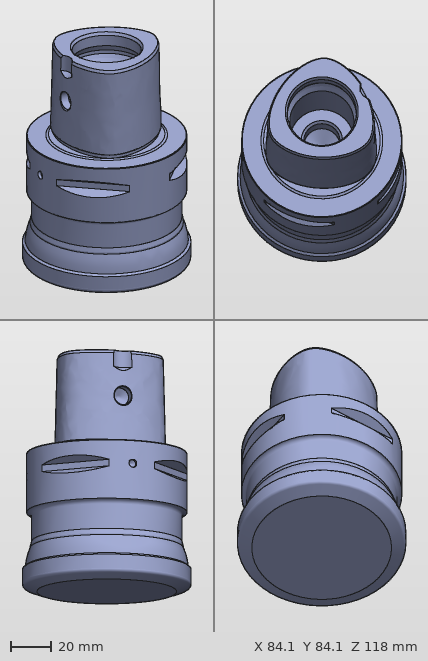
import cadquery as cq
import math

total_height = 118.0
nut_height = 25.1
collar_bottom = 40.0
collar_top = 69.9

nut_radius = 42.0
nut_face_radius = 34.8
nut_face_cone_height = 2.1
nut_face_cone_radius = 40.8
nut_rim_bottom = 4.1
nut_rim_top = 11.3
nut_shoulder_radius = 40.7
nut_shoulder_level = 12.3
nut_dome_mid_radius = 39.9
nut_dome_mid_level = 17.2
nut_band_radius = 38.2
nut_band_bottom = 22.0
nut_band_top = 22.7

neck_radius = 75.0 / 2
neck_fillet = 2.4
collar_radius = 80.0 / 2
collar_edge_chamfer = 0.4
seat_radius = 30.3
seat_top_radius = 29.0
seat_height = 0.5

taper_bottom = 72.3
taper_mean_radius = 27.6
taper_slope = 1 / 40
taper_eccentricity = 2.0
taper_rim_chamfer = 0.7
taper_rim_height = 1.5
undercut_depth = 0.7
outline_points = 48

bore_rim_radius = 18.2
bore_upper_radius = 17.2
bore_rim_depth = 1.5
bore_groove_radius = 38.0 / 2
bore_groove_start = 7.2
bore_groove_flat_start = 10.4
bore_groove_end = 12.3
bore_cone_mid_radius = 17.7
bore_cone_mid = 14.3
bore_cone_end = 16.4
bore_lower_radius = 32.0 / 2
bore_floor_depth = 47.2
pilot_radius = 18.0 / 2
pilot_rim_radius = 10.3
pilot_depth = 9.4
pilot_tip_depth = 5.2

notch_radius = 6.0
notch_offset = 28.0
notch_depth = 8.4
notch_tip_depth = 4.4

shank_hole_radius = 9.1 / 2
shank_hole_level = 95.0
shank_hole_floor = 20.1
shank_hole_tip = 2.6
shank_hole_rim_chamfer = 0.5
collar_hole_radius = 4.0 / 2
collar_hole_depth = 1.8
collar_hole_tip = 1.2

slot_count = 4
slot_first_angle = 45
slot_level = 58.0
slot_floor_distance = 35.4
slot_floor_width = 3.3
slot_mouth_width = 8.7
slot_length = 37.0


def revolve_profile(profile):
    """Turn a closed (radius, height) outline about the Z axis."""
    return profile.close().revolve(360, (0, 0, 0), (0, 1, 0))


def build_nut():
    corner = math.sqrt(0.5)
    round_width = nut_radius - nut_face_cone_radius
    round_height = nut_rim_bottom - nut_face_cone_height
    rim_round_mid = (
        nut_face_cone_radius + round_width * corner,
        nut_rim_bottom - round_height * corner,
    )
    profile = (
        cq.Workplane("XZ")
        .lineTo(nut_face_radius, 0)
        .lineTo(nut_face_cone_radius, nut_face_cone_height)
        .threePointArc(rim_round_mid, (nut_radius, nut_rim_bottom))
        .lineTo(nut_radius, nut_rim_top)
        .lineTo(nut_shoulder_radius, nut_shoulder_level)
        .threePointArc((nut_dome_mid_radius, nut_dome_mid_level), (nut_band_radius, nut_band_bottom))
        .lineTo(nut_band_radius, nut_band_top)
        .lineTo(neck_radius, nut_height)
        .lineTo(0, nut_height)
    )
    return revolve_profile(profile)


def turned_holder_base():
    """Neck, collar and seat ring as one turned shape."""
    fillet_start = collar_bottom - neck_fillet
    fillet_end_radius = neck_radius + neck_fillet
    fillet_sag = neck_fillet * (1 - math.sqrt(0.5))
    profile = (
        cq.Workplane("XZ")
        .moveTo(0, nut_height)
        .lineTo(neck_radius, nut_height)
        .lineTo(neck_radius, fillet_start)
        .threePointArc(
            (neck_radius + fillet_sag, collar_bottom - fillet_sag),
            (fillet_end_radius, collar_bottom),
        )
        .lineTo(collar_radius, collar_bottom)
        .lineTo(collar_radius, collar_top - collar_edge_chamfer)
        .lineTo(collar_radius - collar_edge_chamfer, collar_top)
        .lineTo(seat_radius, collar_top)
        .lineTo(seat_top_radius, collar_top + seat_height)
        .lineTo(0, collar_top + seat_height)
    )
    return revolve_profile(profile)


def lobed_wire(mean_radius, level):
    """Constant-width three-lobed outline with one lobe pointing to +Y."""
    points = []
    for index in range(outline_points):
        angle = 2 * math.pi * index / outline_points
        along = (
            mean_radius * math.cos(angle)
            + taper_eccentricity * (2 * math.cos(2 * angle) - math.cos(4 * angle))
        )
        across = (
            mean_radius * math.sin(angle)
            - taper_eccentricity * (2 * math.sin(2 * angle) + math.sin(4 * angle))
        )
        points.append(cq.Vector(-across, along, level))
    edge = cq.Edge.makeSpline(points, periodic=True)
    return cq.Wire.assembleEdges([edge])


def lobed_section(bottom_radius, bottom, top_radius, top):
    wires = [lobed_wire(bottom_radius, bottom), lobed_wire(top_radius, top)]
    return cq.Workplane(cq.Solid.makeLoft(wires, True))


def taper_shank():
    rim_level = total_height - taper_rim_height
    rim_radius = taper_mean_radius - taper_slope * (rim_level - taper_bottom)
    undercut_radius = taper_mean_radius - undercut_depth
    undercut = lobed_section(undercut_radius, collar_top, undercut_radius, taper_bottom)
    taper = lobed_section(taper_mean_radius, taper_bottom, rim_radius, rim_level)
    rim = lobed_section(rim_radius, rim_level, rim_radius - taper_rim_chamfer, total_height)
    return undercut.union(taper).union(rim)


def bore_cutter():
    floor = total_height - bore_floor_depth
    pilot_rim_depth = pilot_rim_radius - pilot_radius
    pilot_floor = floor - pilot_depth
    profile = (
        cq.Workplane("XZ")
        .moveTo(0, total_height)
        .lineTo(bore_rim_radius, total_height)
        .lineTo(bore_upper_radius, total_height - bore_rim_depth)
        .lineTo(bore_upper_radius, total_height - bore_groove_start)
        .lineTo(bore_groove_radius, total_height - bore_groove_flat_start)
        .lineTo(bore_groove_radius, total_height - bore_groove_end)
        .lineTo(bore_cone_mid_radius, total_height - bore_cone_mid)
        .lineTo(bore_lower_radius, total_height - bore_cone_end)
        .lineTo(bore_lower_radius, floor)
        .lineTo(pilot_rim_radius, floor)
        .lineTo(pilot_radius, floor - pilot_rim_depth)
        .lineTo(pilot_radius, pilot_floor)
        .lineTo(0, pilot_floor - pilot_tip_depth)
    )
    return revolve_profile(profile)


def drill(radius, length, tip):
    """Drill body with its wall ending at z = 0 and its cone tip at z = -tip."""
    profile = (
        cq.Workplane("XZ")
        .moveTo(0, -tip)
        .lineTo(radius, 0)
        .lineTo(radius, length)
        .lineTo(0, length)
    )
    return revolve_profile(profile)


def radial_drill(radius, floor_distance, tip, level):
    """Drill entering from -Y; the wall ends at floor_distance from the axis."""
    cutter = drill(radius, collar_radius, tip)
    return cutter.rotate((0, 0, 0), (1, 0, 0), 90).translate((0, -floor_distance, level))


def notch_cutter():
    cutter = drill(notch_radius, total_height, notch_tip_depth)
    return cutter.translate((0, -notch_offset, total_height - notch_depth))


def shank_hole_cutter():
    hole = radial_drill(shank_hole_radius, shank_hole_floor, shank_hole_tip, shank_hole_level)
    mean_radius = taper_mean_radius - taper_slope * (shank_hole_level - taper_bottom)
    surface = mean_radius - taper_eccentricity
    rim_chamfer = cq.Workplane(
        cq.Solid.makeCone(
            shank_hole_radius,
            shank_hole_radius + 2 * shank_hole_rim_chamfer,
            2 * shank_hole_rim_chamfer,
            cq.Vector(0, -surface + shank_hole_rim_chamfer, shank_hole_level),
            cq.Vector(0, -1, 0),
        )
    )
    return hole.union(rim_chamfer)


def slot_cutter():
    """Trapezoidal groove along Y, cut into the +X side of the collar."""
    flare = (slot_mouth_width - slot_floor_width) / 2
    outer_distance = 2 * collar_radius - slot_floor_distance
    outer_half_width = slot_floor_width / 2 + 2 * flare
    return (
        cq.Workplane("XZ", origin=(0, slot_length / 2, slot_level))
        .moveTo(slot_floor_distance, -slot_floor_width / 2)
        .lineTo(outer_distance, -outer_half_width)
        .lineTo(outer_distance, outer_half_width)
        .lineTo(slot_floor_distance, slot_floor_width / 2)
        .close()
        .extrude(slot_length)
    )


def build_holder():
    holder = turned_holder_base().union(taper_shank())
    holder = holder.cut(bore_cutter())
    holder = holder.cut(notch_cutter())
    holder = holder.cut(shank_hole_cutter())
    collar_hole_floor = collar_radius - collar_hole_depth
    holder = holder.cut(
        radial_drill(collar_hole_radius, collar_hole_floor, collar_hole_tip, slot_level)
    )
    for index in range(slot_count):
        angle = slot_first_angle + index * 360 / slot_count
        holder = holder.cut(slot_cutter().rotate((0, 0, 0), (0, 0, 1), angle))
    return holder


nut = build_nut()
holder = build_holder()
result = cq.Compound.makeCompound([nut.val(), holder.val()])